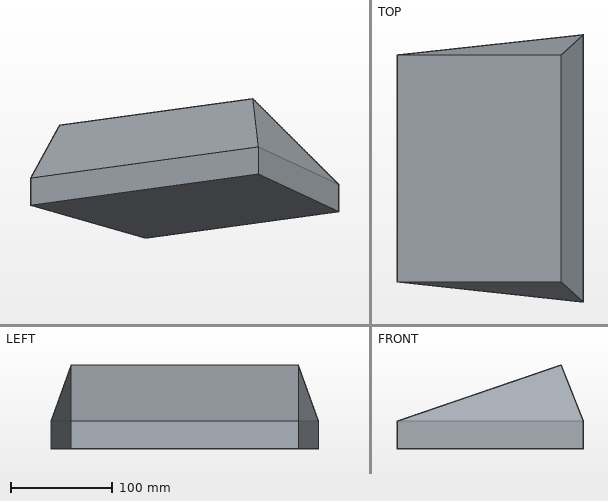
import cadquery as cq

length = 184.0
rear_width = 264.0
total_height = 83.0

front_width = 224.0
base_height = 27.5
ridge_x = 162.0

half_front = front_width / 2
half_rear = rear_width / 2


def planar_face(*corners):
    """Flat face bounded by straight edges through the corners."""
    points = [cq.Vector(*corner) for corner in corners]
    return cq.Face.makeFromWires(cq.Wire.makePolygon(points, close=True))


def make_base():
    """Flat plinth, wider at the rear than at the front."""
    outline = [
        (0, -half_front),
        (length, -half_rear),
        (length, half_rear),
        (0, half_front),
    ]
    return cq.Workplane("XY").polyline(outline).close().extrude(base_height)


def make_roof():
    """Wedge rising from the front edge to the ridge, then falling to the rear edge."""
    front_right = (0, -half_front, base_height)
    front_left = (0, half_front, base_height)
    rear_right = (length, -half_rear, base_height)
    rear_left = (length, half_rear, base_height)
    ridge_right = (ridge_x, -half_front, total_height)
    ridge_left = (ridge_x, half_front, total_height)
    faces = [
        planar_face(front_right, front_left, rear_left, rear_right),
        planar_face(front_right, ridge_right, ridge_left, front_left),
        planar_face(rear_right, rear_left, ridge_left, ridge_right),
        planar_face(front_right, rear_right, ridge_right),
        planar_face(front_left, ridge_left, rear_left),
    ]
    return cq.Workplane(cq.Solid.makeSolid(cq.Shell.makeShell(faces)))


result = make_base().union(make_roof())